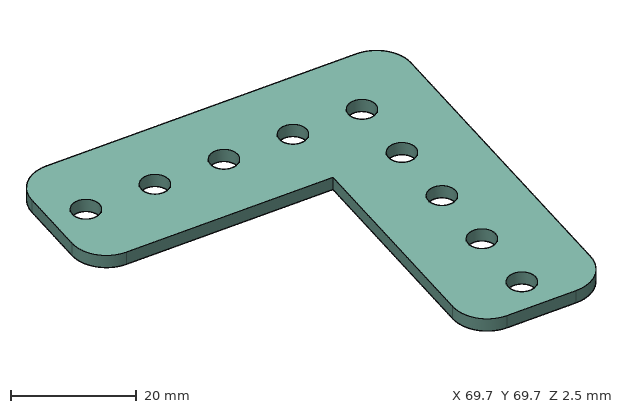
import cadquery as cq

side = 69.7
thickness = 2.5
pitch = 12.7
hole_diameter = 5.0
holes_per_arm = 5

arm_width = 2 * pitch
corner_radius = pitch / 2


def rounded_arm(length_x, length_y):
    """Flat bar with rounded corners, its upper left corner at the origin."""
    return (
        cq.Workplane("XY")
        .center(length_x / 2, -length_y / 2)
        .rect(length_x, length_y)
        .extrude(thickness)
        .edges("|Z")
        .fillet(corner_radius)
    )


plate = rounded_arm(side, arm_width).union(rounded_arm(arm_width, side))

row_along_x = [(pitch * i, -pitch) for i in range(1, holes_per_arm + 1)]
row_along_y = [(pitch, -pitch * i) for i in range(2, holes_per_arm + 1)]
holes = (
    cq.Workplane("XY")
    .pushPoints(row_along_x + row_along_y)
    .circle(hole_diameter / 2)
    .extrude(thickness)
)

result = plate.cut(holes)